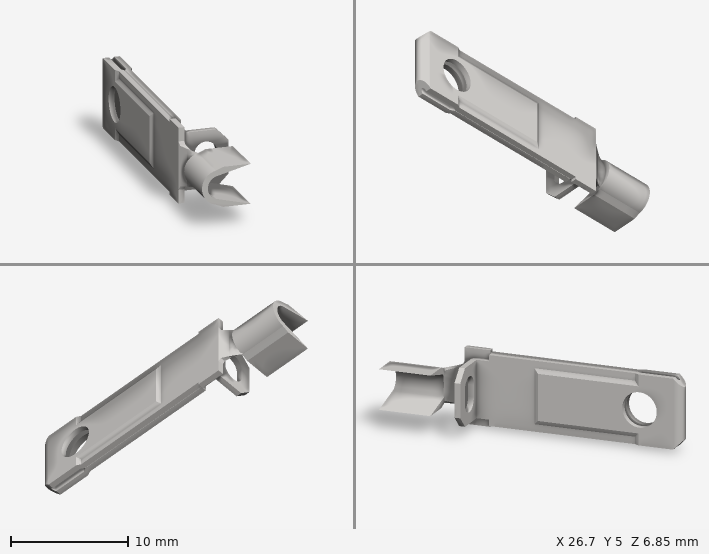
import cadquery as cq
import math

overall_depth = 5.0
sheet = 0.53
layer_gap = 0.03
lift = 0.21
inner_y = layer_gap / 2
outer_y = inner_y + sheet
blade_half = 3.17
nose_chamfer = 0.83

joggle_start = 4.03
joggle_run = 0.4
shoulder_x = 18.0
rear_layer_step = 17.87
tab_back = 19.55
shoulder_end = 20.35
barrel_start = 21.92
barrel_end = 26.67

panel_half = 2.5
panel_end = 13.68

hole_x = 3.92
hole_dia = 3.17

shoulder_height = 6.85
tab_half = 2.61
tab_bend_radius = 0.5
tab_top = overall_depth - outer_y - lift
tab_chamfer = 1.07
window_center_y = 2.2
window_width = 2.03
window_length = 3.2

neck_root_half = 2.2
neck_half = 1.85
neck_root_run = 0.15
neck_end_half = 1.57
neck_rise = 0.8
neck_end_edge = 0.08
neck_bottom = -0.03
neck_curve_start = 21.07
neck_curve_sheet = 0.32
neck_overlap = 0.13

barrel_half = 1.81
barrel_waist_half = 1.55
waist_y = 0.72
wing_y = 1.35
wing_sheet = 0.65
barrel_top = 3.85


def box(x_range, y_range, half_height):
    """Block spanning the two ranges, centred on Z = 0."""
    (x0, x1), (y0, y1) = x_range, y_range
    size = (x1 - x0, y1 - y0, 2 * half_height)
    return cq.Workplane("XY").box(*size).translate(((x0 + x1) / 2, (y0 + y1) / 2, 0))


def parted_zone(nose_x, closed_y):
    """Round-nosed zone of the parted layers, closing down by `lift` to Y = +-closed_y."""
    parted_y = closed_y + lift
    joggle_end = joggle_start + joggle_run
    return (
        cq.Workplane("XY")
        .moveTo(nose_x + parted_y, parted_y)
        .lineTo(joggle_start, parted_y)
        .lineTo(joggle_end, closed_y)
        .lineTo(joggle_end, -closed_y)
        .lineTo(joggle_start, -parted_y)
        .lineTo(nose_x + parted_y, -parted_y)
        .threePointArc((nose_x, 0), (nose_x + parted_y, parted_y))
        .close()
        .extrude(blade_half, both=True)
    )


def panel(foot_y):
    """Sloped-sided pad rising by `lift` from both planes Y = +foot_y and Y = -foot_y."""
    foot_start = joggle_start - 2 * joggle_run
    length = panel_end - foot_start
    slope = math.degrees(math.atan(joggle_run / lift))
    pad = (
        cq.Workplane("XZ", origin=((foot_start + panel_end) / 2, -foot_y, 0))
        .rect(length, 2 * panel_half)
        .extrude(lift, taper=slope)
    )
    return pad.union(pad.mirror("XZ"))


def blade():
    """Two layers joined at the fold, hollow between them where they are pressed apart."""
    body = (
        parted_zone(0, outer_y)
        .union(box((joggle_start, shoulder_x), (-outer_y, -inner_y), blade_half))
        .union(box((joggle_start, rear_layer_step), (inner_y, outer_y), blade_half))
        .union(panel(outer_y))
    )
    seam = box((joggle_start, shoulder_x), (-inner_y, inner_y), blade_half)
    body = body.cut(parted_zone(sheet, inner_y)).cut(panel(inner_y)).cut(seam)
    hole = cq.Workplane("XZ").center(hole_x, 0).circle(hole_dia / 2).extrude(tab_top, both=True)
    nose = (
        box((0, shoulder_x), (-tab_top, tab_top), blade_half)
        .edges("|Y and <X")
        .chamfer(nose_chamfer)
    )
    return body.cut(hole).intersect(nose)


def tab():
    """Narrow end of the rear layer, bent square to the blade, with a window."""
    foot = box((rear_layer_step, tab_back), (inner_y, outer_y), tab_half)
    foot = foot.edges("|Z and >X and <Y").fillet(tab_bend_radius)
    upright = (
        box((tab_back - sheet, tab_back), (outer_y, tab_top), tab_half)
        .edges("|X and >Y")
        .chamfer(tab_chamfer)
    )
    window = (
        cq.Workplane("YZ", origin=(tab_back, window_center_y, 0))
        .slot2D(window_length, window_width, 90)
        .extrude(-sheet)
    )
    return foot.union(upright).cut(window)


def arc_or_line(start, middle, end):
    """Arc through three points, or a line when they are level."""
    if math.isclose(start.y, middle.y):
        return cq.Edge.makeLine(start, end)
    return cq.Edge.makeThreePointArc(start, middle, end)


def neck_section(x, half, inner_half, rear_mid=None, front_mid=None):
    """Cross-section at x: open edges on the climbing line, middle lines optionally bowed."""
    travel = (x - shoulder_end) / (barrel_start + neck_overlap - shoulder_end)
    rear = -inner_y + neck_rise * travel
    front = rear - sheet - (neck_end_edge - sheet) * travel
    rear_mid = rear if rear_mid is None else rear_mid
    front_mid = front if front_mid is None else front_mid
    rear_low = cq.Vector(x, rear, -inner_half)
    rear_high = cq.Vector(x, rear, inner_half)
    front_high = cq.Vector(x, front, half)
    front_low = cq.Vector(x, front, -half)
    return cq.Wire.assembleEdges([
        arc_or_line(rear_low, cq.Vector(x, rear_mid, 0), rear_high),
        cq.Edge.makeLine(rear_high, front_high),
        arc_or_line(front_high, cq.Vector(x, front_mid, 0), front_low),
        cq.Edge.makeLine(front_low, rear_low),
    ])


def neck():
    """Strip that leaves the shoulder flat, climbs, and reaches the barrel curved."""
    sections = [
        neck_section(shoulder_end, neck_root_half, neck_root_half),
        neck_section(shoulder_end + neck_root_run, neck_half, neck_half),
        neck_section(neck_curve_start, (neck_half + neck_end_half) / 2, neck_end_half,
                     neck_bottom + neck_curve_sheet, neck_bottom),
        neck_section(barrel_start + neck_overlap, neck_end_half, neck_end_half - sheet / 2,
                     neck_bottom + sheet, neck_bottom),
    ]
    return cq.Workplane(cq.Solid.makeLoft(sections, True))


def barrel():
    """Open crimp barrel: round bottom, waist, and wings thinning to a knife edge."""
    inner_bottom = -inner_y
    waist_in = barrel_waist_half - sheet
    wing_in = barrel_half - wing_sheet
    outline = (
        cq.Workplane("YZ", origin=(barrel_start, 0, 0))
        .moveTo(barrel_top, barrel_half)
        .lineTo(wing_y, barrel_half)
        .lineTo(waist_y, barrel_waist_half)
        .threePointArc((-outer_y, 0), (waist_y, -barrel_waist_half))
        .lineTo(wing_y, -barrel_half)
        .lineTo(barrel_top, -barrel_half)
        .lineTo(wing_y, -wing_in)
        .lineTo(waist_y, -waist_in)
        .threePointArc((inner_bottom, 0), (waist_y, waist_in))
        .lineTo(wing_y, wing_in)
        .close()
    )
    return outline.extrude(barrel_end - barrel_start)


shoulder = box((shoulder_x, shoulder_end), (-outer_y, -inner_y), shoulder_height / 2)
result = blade().union(shoulder).union(tab()).union(neck()).union(barrel())